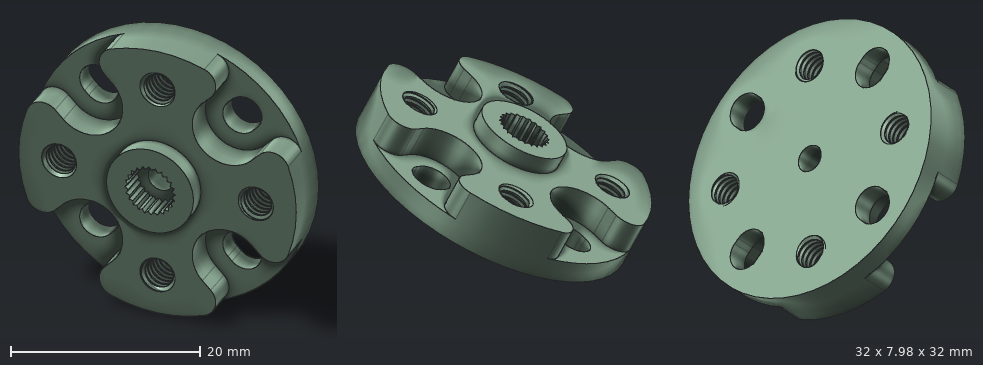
import cadquery as cq
import math

disc_diameter = 31.98
disc_thickness = 6.0
boss_diameter = 10.0
boss_height = 1.98
hub_height = disc_thickness + boss_height

pocket_floor_height = 2.5
pocket_width = 8.0
pocket_centre_radius = 11.32
ear_radius = 1.98

slot_width = 4.0
slot_inner_radius = pocket_centre_radius
slot_outer_radius = 12.0

thread_circle_radius = pocket_centre_radius
thread_major_diameter = 4.0
thread_minor_diameter = 3.3
countersink_diameter = 4.03
thread_pitch = 0.7
thread_half_angle = 30.0
thread_root_width = thread_pitch / 8
thread_overlap = 0.03

tooth_count = 24
tooth_tip_radius = 2.88
tooth_root_radius = 2.55
tooth_phase = 2.5
socket_depth = 3.0
screw_hole_diameter = 3.0

diagonal_angles = (45, 135, 225, 315)
axis_angles = (0, 90, 180, 270)


def polar(radius, angle):
    """Point on the face plane at a radius and an angle in degrees."""
    return (radius * math.cos(math.radians(angle)), radius * math.sin(math.radians(angle)))


def face_plane(height=0.0):
    """Workplane facing -Y at a height above the back face (local axes X and Z)."""
    return cq.Workplane("XZ").workplane(offset=height)


def turned(shape, angle):
    """Turn a shape about the hub axis, from +X toward +Z."""
    return shape.rotate((0, 0, 0), (0, -1, 0), angle)


def pocket_cutter():
    """Pocket lying along +X: round inner end, straight sides, ears flared into the rim."""
    half_width = pocket_width / 2
    rim_radius = disc_diameter / 2
    ear_offset = half_width + ear_radius
    ear_centre_radius = rim_radius - ear_radius
    ear_x = math.sqrt(ear_centre_radius**2 - ear_offset**2)
    ear_angle = math.degrees(math.atan2(ear_offset, ear_x))
    rim_x, rim_z = polar(rim_radius, ear_angle)
    mid_dx, mid_dz = polar(ear_radius, (ear_angle - 90) / 2)
    mid_x = ear_x + mid_dx
    mid_z = ear_offset + mid_dz
    return (
        face_plane(pocket_floor_height)
        .moveTo(pocket_centre_radius, -half_width)
        .lineTo(ear_x, -half_width)
        .threePointArc((mid_x, -mid_z), (rim_x, -rim_z))
        .threePointArc((rim_radius, 0), (rim_x, rim_z))
        .threePointArc((mid_x, mid_z), (ear_x, half_width))
        .lineTo(pocket_centre_radius, half_width)
        .threePointArc((pocket_centre_radius - half_width, 0), (pocket_centre_radius, -half_width))
        .close()
        .extrude(disc_thickness - pocket_floor_height)
    )


def slot_cutter():
    """Short radial slot along +X through the full disc."""
    slot_length = slot_outer_radius - slot_inner_radius + slot_width
    return (
        face_plane()
        .center((slot_inner_radius + slot_outer_radius) / 2, 0)
        .slot2D(slot_length, slot_width)
        .extrude(disc_thickness)
    )


def thread_groove_cutter():
    """Trapezoid groove winding around the hub axis and running out of both faces."""
    major_radius = thread_major_diameter / 2
    inner_radius = thread_minor_diameter / 2 - thread_overlap
    half_root = thread_root_width / 2
    flank_slope = math.tan(math.radians(thread_half_angle))
    half_mouth = half_root + (major_radius - inner_radius) * flank_slope
    groove_length = disc_thickness + 2 * thread_pitch
    corners = [
        (inner_radius, -half_mouth),
        (major_radius, -half_root),
        (major_radius, half_root),
        (inner_radius, half_mouth),
    ]
    helices = [
        cq.Wire.makeHelix(thread_pitch, groove_length, radius).translate(cq.Vector(0, 0, height))
        for radius, height in corners
    ]
    neighbours = helices[1:] + helices[:1]
    faces = [cq.Face.makeRuledSurface(first, second) for first, second in zip(helices, neighbours)]
    starts = [helix.startPoint() for helix in helices]
    ends = [helix.endPoint() for helix in helices]
    for section in (starts, ends):
        faces.append(cq.Face.makeFromWires(cq.Wire.makePolygon(section, close=True)))
    groove = cq.Workplane(cq.Solid.makeSolid(cq.Shell.makeShell(faces)))
    return groove.rotate((0, 0, 0), (1, 0, 0), 90).translate((0, thread_pitch, 0))


def countersunk_bore_cutter():
    """Thread bore on the hub axis, opened to the countersink diameter at the disc face."""
    bore_radius = thread_minor_diameter / 2
    mouth_radius = countersink_diameter / 2
    sink_depth = mouth_radius - bore_radius
    return (
        cq.Workplane("XY")
        .polyline(
            [
                (0, 0),
                (bore_radius, 0),
                (bore_radius, sink_depth - disc_thickness),
                (mouth_radius, -disc_thickness),
                (0, -disc_thickness),
            ]
        )
        .close()
        .revolve(360, (0, 0, 0), (0, 1, 0))
    )


def toothed_socket_cutter():
    """Star-shaped socket sunk into the boss, with triangular teeth."""
    tooth_pitch_angle = 360 / tooth_count
    outline = []
    for tooth in range(tooth_count):
        tip_angle = tooth_phase + tooth * tooth_pitch_angle
        outline.append(polar(tooth_tip_radius, tip_angle))
        outline.append(polar(tooth_root_radius, tip_angle + tooth_pitch_angle / 2))
    return face_plane(hub_height - socket_depth).polyline(outline).close().extrude(socket_depth)


disc = face_plane().circle(disc_diameter / 2).extrude(disc_thickness)
boss = face_plane().circle(boss_diameter / 2).extrude(hub_height)
result = disc.union(boss)

pocket = pocket_cutter()
slot = slot_cutter()
for angle in diagonal_angles:
    result = result.cut(turned(pocket, angle))
    result = result.cut(turned(slot, angle))

groove = thread_groove_cutter().translate((-thread_circle_radius, 0, 0))
bore = countersunk_bore_cutter().translate((-thread_circle_radius, 0, 0))
for angle in axis_angles:
    result = result.cut(turned(groove, angle))
    result = result.cut(turned(bore, angle))

result = result.cut(toothed_socket_cutter())
result = result.cut(face_plane().circle(screw_hole_diameter / 2).extrude(hub_height))